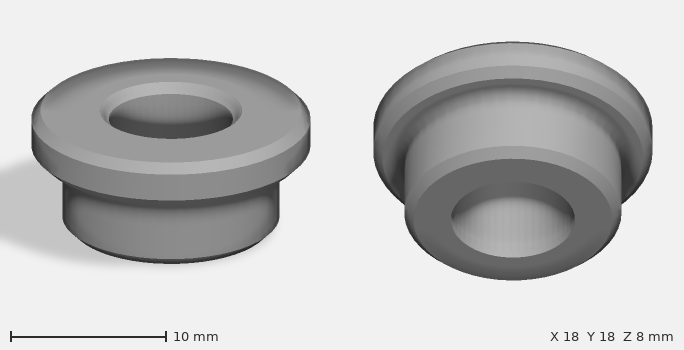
import cadquery as cq
import math

flange_diameter = 18.0
shank_diameter = 14.0
bore_diameter = 8.0
total_height = 8.0
flange_thickness = 3.0
edge_chamfer = 0.6
neck_fillet = 0.6

flange_radius = flange_diameter / 2
shank_radius = shank_diameter / 2
bore_radius = bore_diameter / 2
shank_length = total_height - flange_thickness

fillet_mid_offset = neck_fillet * (1 - math.sqrt(0.5))
fillet_mid = (shank_radius + fillet_mid_offset, shank_length - fillet_mid_offset)
fillet_end = (shank_radius + neck_fillet, shank_length)

half_section = (
    cq.Workplane("XZ")
    .moveTo(bore_radius, 0)
    .lineTo(shank_radius - edge_chamfer, 0)
    .lineTo(shank_radius, edge_chamfer)
    .lineTo(shank_radius, shank_length - neck_fillet)
    .threePointArc(fillet_mid, fillet_end)
    .lineTo(flange_radius - edge_chamfer, shank_length)
    .lineTo(flange_radius, shank_length + edge_chamfer)
    .lineTo(flange_radius, total_height - edge_chamfer)
    .lineTo(flange_radius - edge_chamfer, total_height)
    .lineTo(bore_radius + edge_chamfer, total_height)
    .lineTo(bore_radius, total_height - edge_chamfer)
    .close()
)

result = half_section.revolve(360, (0, 0, 0), (0, 1, 0))